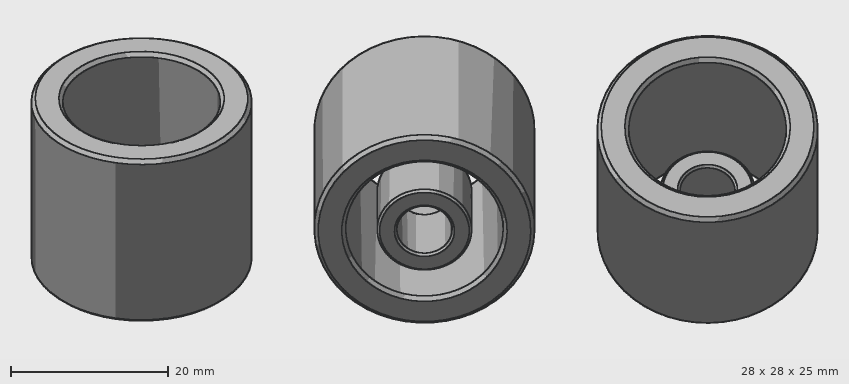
import cadquery as cq

sleeve_diameter = 28.0
sleeve_bore = 20.0
sleeve_height = 25.0
sleeve_chamfer = 0.5

bushing_diameter = 12.0
bushing_bore = 7.0
bushing_height = 10.0
bushing_chamfer = 0.3


def chamfered_ring(outer_diameter, bore_diameter, height, chamfer):
    """Ring on the base plane with every circular edge chamfered."""
    return (
        cq.Workplane("XY")
        .circle(outer_diameter / 2)
        .circle(bore_diameter / 2)
        .extrude(height)
        .faces("<Z or >Z")
        .edges()
        .chamfer(chamfer)
    )


sleeve = chamfered_ring(sleeve_diameter, sleeve_bore, sleeve_height, sleeve_chamfer)
bushing = chamfered_ring(bushing_diameter, bushing_bore, bushing_height, bushing_chamfer)

result = cq.Compound.makeCompound([sleeve.val(), bushing.val()])